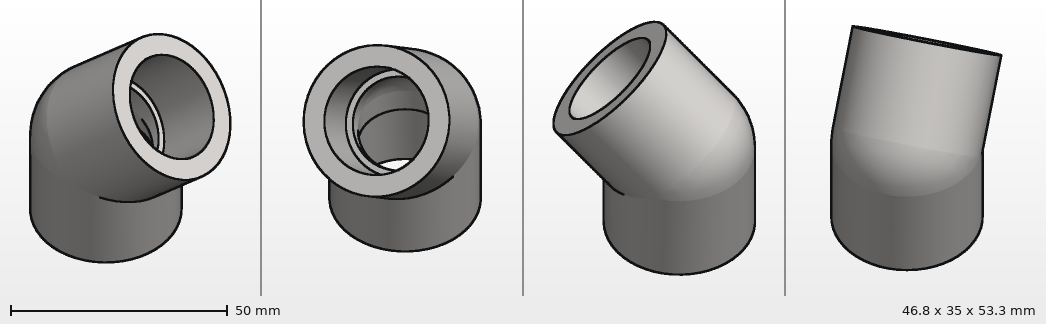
import math

import cadquery as cq

outer_diameter = 35.0
socket_diameter = 25.0
bore_diameter = 21.65
leg_length = 24.0
socket_depth = 18.05
bend_angle = math.radians(45)

bend_centre = cq.Vector(0, 0, leg_length)
lower_direction = cq.Vector(0, 0, -1)
upper_direction = cq.Vector(math.sin(bend_angle), 0, math.cos(bend_angle))
leg_directions = (lower_direction, upper_direction)


def leg_cylinder(diameter, start, direction):
    """Cylinder along a leg, from a distance past the bend centre to the open end."""
    base = bend_centre + direction * start
    plane = cq.Plane(origin=base, xDir=(0, 1, 0), normal=direction)
    return cq.Workplane(plane).circle(diameter / 2).extrude(leg_length - start)


def rounded_elbow(diameter):
    """Two legs meeting at a ball of the same diameter."""
    elbow = cq.Workplane("XY").sphere(diameter / 2).translate(bend_centre)
    for direction in leg_directions:
        elbow = elbow.union(leg_cylinder(diameter, 0, direction))
    return elbow


result = rounded_elbow(outer_diameter).cut(rounded_elbow(bore_diameter))

for leg_direction in leg_directions:
    socket = leg_cylinder(socket_diameter, leg_length - socket_depth, leg_direction)
    result = result.cut(socket)